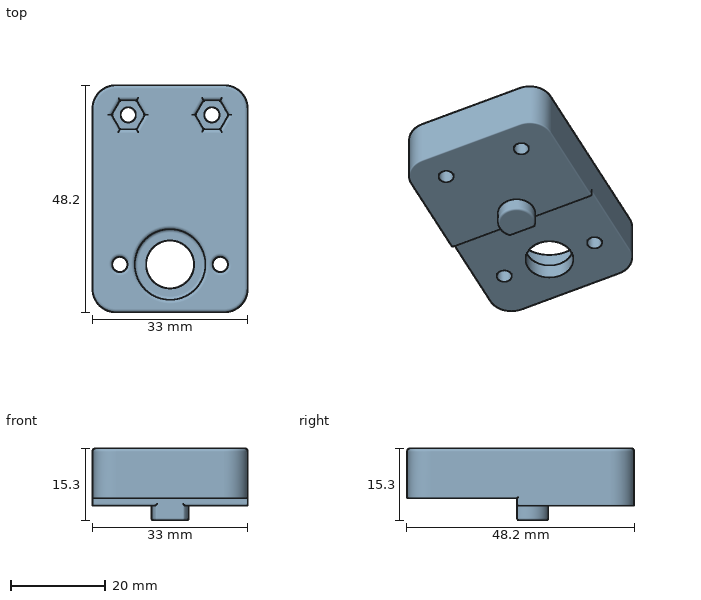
import cadquery as cq
import math

width = 33.0
length = 48.25
corner_radius = 5.0
rear_thickness = 12.25
front_thickness = 10.65
step_y = -0.75
top_fillet = 0.7
rim_fillet = 0.3

total_height = 15.35
boss_diameter = 7.95
boss_y = 1.95
step_fillet = 0.5

nut_across_flats = 6.15
nut_depth = 7.25
nut_x = 8.9
nut_y = 17.8
nut_seat_fillet = 0.25

bore_y = -13.95
bore_diameter = 10.15
counterbore_diameter = 15.0
counterbore_depth = 6.75
counterbore_floor_fillet = 0.7
side_screw_x = 10.65

screw_diameter = 3.2
mouth_fillet = 0.75

nut_points = [(-nut_x, nut_y), (nut_x, nut_y)]
side_screw_points = [(-side_screw_x, bore_y), (side_screw_x, bore_y)]
boss_radius = boss_diameter / 2
tolerance = 0.005


def around(x, y, z, dx, dy, dz):
    """Select the edges lying wholly in a box of half-sizes dx, dy, dz about a point."""
    low = (x - dx - tolerance, y - dy - tolerance, z - dz - tolerance)
    high = (x + dx + tolerance, y + dy + tolerance, z + dz + tolerance)
    return cq.selectors.BoxSelector(low, high, boundingbox=True)


def make_plate():
    """Rounded plate with its top face at Z = 0, its boss and the relief in front of the step."""
    plate = cq.Workplane("XY").rect(width, length).extrude(-rear_thickness)
    plate = plate.edges("|Z").fillet(corner_radius)
    boss = cq.Workplane("XY").center(0, boss_y).circle(boss_radius).extrude(-total_height)
    relief = (
        cq.Workplane("XY", origin=(0, step_y - length / 2, -front_thickness))
        .rect(width, length)
        .extrude(-total_height)
    )
    return plate.union(boss).cut(relief)


def round_plate_edges(plate):
    """Round the top rim, the lower edges of the step and boss, and the rim of the underside."""
    plate = plate.faces(">Z").edges().fillet(top_fillet)

    step_bottom = around(0, step_y, -rear_thickness, width / 2, 0, 0)
    boss_mid_z = -(rear_thickness + total_height) / 2
    boss_height = total_height - rear_thickness
    boss_sides = around(0, step_y, boss_mid_z, boss_radius, 0, boss_height / 2)
    boss_bottom = around(0, boss_y, -total_height, boss_radius, boss_radius, 0)
    plate = plate.edges(step_bottom + boss_sides + boss_bottom).fillet(step_fillet)

    rear_rim = plate.faces(">Y").edges("<Z")
    front_rim = plate.faces("<Y").edges("<Z")
    return plate.newObject(rear_rim.vals() + front_rim.vals()).fillet(rim_fillet)


def make_screw_hole():
    """Solid filling a screw hole through the whole plate."""
    return cq.Workplane("XY").circle(screw_diameter / 2).extrude(-total_height)


def make_nut_pocket():
    """Solid filling one nut pocket, with a rounded floor."""
    across_corners = nut_across_flats / math.cos(math.pi / 6)
    pocket = cq.Workplane("XY").polygon(6, across_corners).extrude(-nut_depth)
    return pocket.edges("<Z").fillet(nut_seat_fillet)


def make_counterbore():
    """Solid filling the counterbore, with a rounded floor."""
    counterbore = cq.Workplane("XY").circle(counterbore_diameter / 2).extrude(-counterbore_depth)
    return counterbore.edges("<Z").fillet(counterbore_floor_fillet)


def cut_nut_pockets(plate):
    """Cut the nut pockets and their screw holes, then round both mouths."""
    pocket = make_nut_pocket()
    hole = make_screw_hole()
    for x, y in nut_points:
        plate = plate.cut(pocket.translate((x, y, 0)))
        plate = plate.cut(hole.translate((x, y, 0)))
        pocket_mouth = around(x, y, 0, nut_across_flats, nut_across_flats, 0)
        plate = plate.edges(pocket_mouth).fillet(mouth_fillet)
        hole_mouth = around(x, y, -nut_depth, screw_diameter / 2, screw_diameter / 2, 0)
        plate = plate.edges(hole_mouth).fillet(nut_seat_fillet)
    return plate


def cut_bore(plate):
    """Cut the counterbored main bore and round its mouth."""
    bore = cq.Workplane("XY").circle(bore_diameter / 2).extrude(-total_height)
    plate = plate.cut(make_counterbore().union(bore).translate((0, bore_y, 0)))
    mouth = around(0, bore_y, 0, counterbore_diameter / 2, counterbore_diameter / 2, 0)
    return plate.edges(mouth).fillet(mouth_fillet)


def cut_side_screw_holes(plate):
    """Drill a through hole on each side of the bore and round its mouth."""
    hole = make_screw_hole()
    for x, y in side_screw_points:
        plate = plate.cut(hole.translate((x, y, 0)))
        hole_mouth = around(x, y, 0, screw_diameter / 2, screw_diameter / 2, 0)
        plate = plate.edges(hole_mouth).fillet(mouth_fillet)
    return plate


body = round_plate_edges(make_plate())
body = cut_nut_pockets(body)
body = cut_bore(body)
result = cut_side_screw_holes(body)